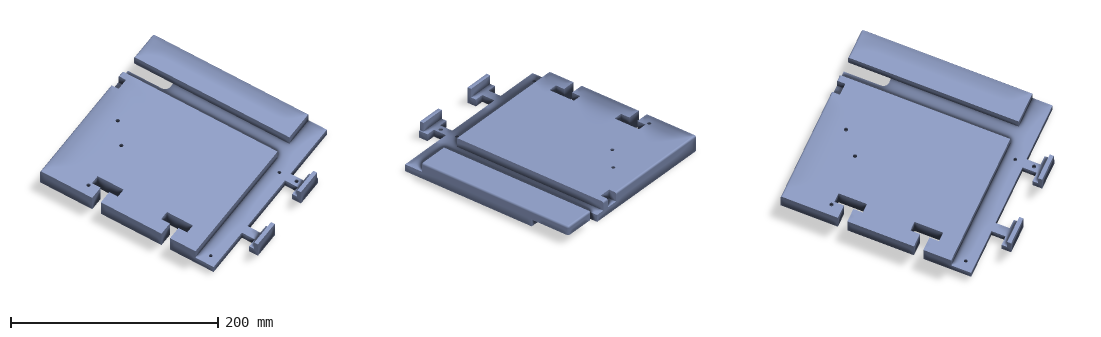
import cadquery as cq

side = 200.0
total_length = 225.0
height = 18.0
base_height = 7.9
edge_radius = 2.0

raised_length = 179.0
plate_width = 145.1
beam_width = 34.2

notch_length = 45.0
notch_width = 45.0
notch_radius = 6.0

pocket_length = 8.8
pocket_width = 13.0
pocket_front = 125.0

t_width = 30.0
stem_width = 10.0
slot_depth = 25.0
slot_stem_depth = 14.8
slot_centers_x = (65.0, 145.0)

hook_stem_length = 14.8
hook_lip_thickness = 4.3
upper_lip_setback = 1.4
lower_hook_y = 55.0
upper_hook_y = 131.0

hole_depth = 5.0
wide_hole_diameter = 4.0
narrow_hole_diameter = 3.5
hook_hole_y = 131.5
wide_holes = (
    (29.2, 92.2, height),
    (48.5, 68.8, height),
    (48.5, 11.0, height),
    (210.0, hook_hole_y, base_height),
)
narrow_holes = (
    (190.1, 10.1, base_height),
    (190.1, hook_hole_y, base_height),
)


def block(x, y, z, length, width, tall):
    """Box given by its lowest corner and its sizes."""
    return cq.Workplane("XY").box(length, width, tall, centered=False).translate((x, y, z))


def make_base():
    notch = block(0, side - notch_width, 0, notch_length, notch_width, base_height)
    notch = notch.edges("|Z and >X and <Y").fillet(notch_radius)
    return block(0, 0, 0, side, side, base_height).cut(notch)


def make_plate():
    plate = block(0, 0, 0, raised_length, plate_width, height)
    plate = plate.edges("<X and >Z").fillet(edge_radius)
    pocket = block(0, pocket_front, base_height, pocket_length, pocket_width, height)
    return plate.cut(pocket)


def make_beam():
    raised_height = height - base_height
    beam = block(0, side - beam_width, base_height, raised_length, beam_width, raised_height)
    outer_edges = beam.edges("(<X and >Z) or (>Y and >Z) or (<X and >Y)")
    return outer_edges.fillet(edge_radius)


def make_t_slot(center_x):
    stem = block(center_x - stem_width / 2, 0, 0, stem_width, slot_depth, height)
    bar_depth = slot_depth - slot_stem_depth
    bar = block(center_x - t_width / 2, slot_stem_depth, 0, t_width, bar_depth, height)
    return stem.union(bar)


def make_hook(center_y, lip_setback):
    bar_x = side + hook_stem_length
    bar_y = center_y - t_width / 2
    stem = block(side, center_y - stem_width / 2, 0, hook_stem_length, stem_width, base_height)
    bar = block(bar_x, bar_y, 0, total_length - bar_x, t_width, base_height)
    lip_x = total_length - hook_lip_thickness
    lip = block(lip_x, bar_y, 0, hook_lip_thickness, t_width - lip_setback, height)
    return stem.union(bar).union(lip)


def make_hole(center, diameter):
    """Cutter for a blind hole that starts at the given point and goes down."""
    return cq.Workplane("XY").circle(diameter / 2).extrude(-hole_depth).translate(center)


result = make_base().union(make_plate()).union(make_beam())
result = result.union(make_hook(lower_hook_y, 0))
result = result.union(make_hook(upper_hook_y, upper_lip_setback))
for slot_x in slot_centers_x:
    result = result.cut(make_t_slot(slot_x))
for center in wide_holes:
    result = result.cut(make_hole(center, wide_hole_diameter))
for center in narrow_holes:
    result = result.cut(make_hole(center, narrow_hole_diameter))